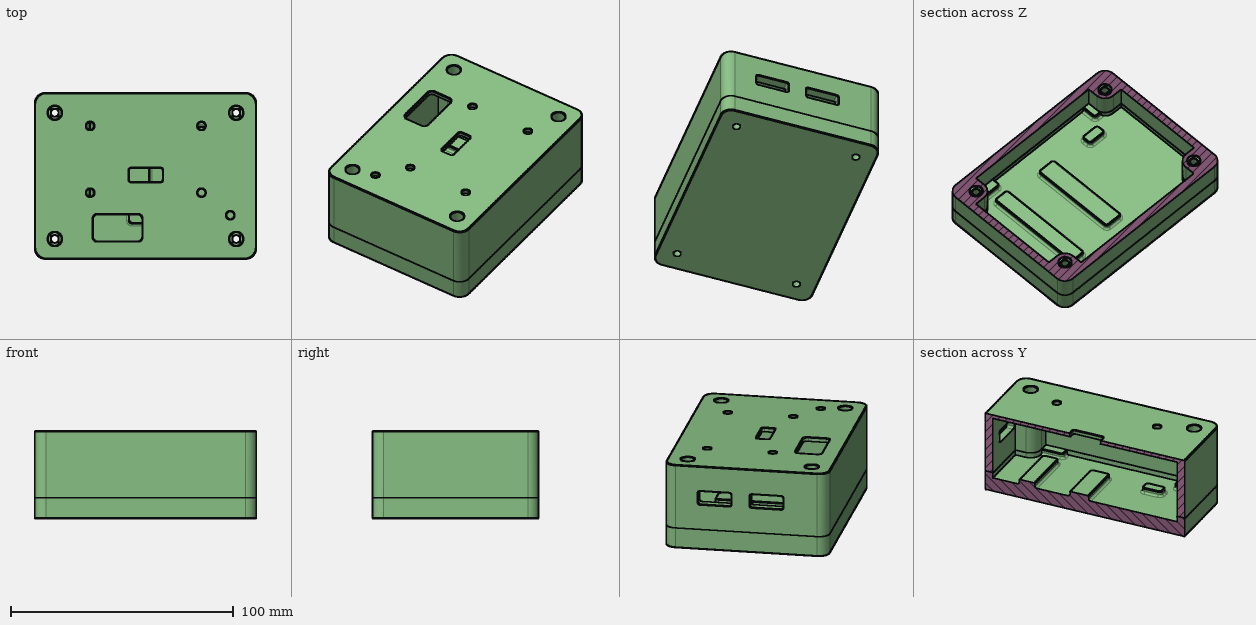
import cadquery as cq
import math

length = 99.69
width = 74.8
height = 39.5
base_height = 9.5
lid_height = height - base_height
corner_radius = 5.0
edge_chamfer = 0.4

wall = 4.0
top_thickness = 2.0
floor_thickness = 7.0
cavity_length = length - 2 * wall
cavity_width = width - 2 * wall
cavity_radius = 1.5

screw_x = 40.75
screw_y = 28.35
screw_diameter = 3.4
head_diameter = 6.0
head_depth = 20.0
bridge_size = 3.5
bridge_layer = 0.3
screw_points = [(sx * screw_x, sy * screw_y) for sx in (-1, 1) for sy in (-1, 1)]

post_radius = 5.2
post_reach = 12.0
post_length = post_reach + post_radius
post_width = post_reach + post_radius
post_center_x = screw_x + (post_reach - post_radius) / 2
post_center_y = screw_y + (post_reach - post_radius) / 2

mount_diameter = 3.4
mount_pitch_x = 50.0
mount_pitch_y = 30.0
mount_center = (0.15, 7.45)
indicator_point = (38.1, -17.7)

opening_chamfer = 0.35
switch_length = 15.1
switch_width = 6.1
switch_radius = 1.0
switch_center = (0.15, 0.4)
display_length = 22.0
display_width = 12.0
display_radius = 2.0
display_center = (-12.55, -23.35)
window_z = 24.5
coarse_window_y = 14.35
fine_window_y = -9.35

block_height = base_height - floor_thickness
block_radius = 1.5
foot_fillet = 1.0
block_chamfer = 0.4
selection_margin = 0.1

left_block = (-32.8, -24.9, -24.7, 24.7)
middle_block = (-7.6, 1.9, -21.4, 22.2)
right_block = (20.0, 29.7, 17.0, 22.2)

rear_end = width / 2 - wall / 2
rear_left_block = (-screw_x, -25.0, 29.0, rear_end)
rear_right_block = (32.0, screw_x, 26.0, rear_end)
blocks = [left_block, middle_block, right_block, rear_left_block, rear_right_block]


def rounded_box(size_x, size_y, size_z, radius, center=(0, 0), bottom=0):
    """Upright box with rounded vertical edges, standing at the given bottom height."""
    return (
        cq.Workplane("XY", origin=(center[0], center[1], bottom))
        .rect(size_x, size_y)
        .extrude(size_z)
        .edges("|Z")
        .fillet(radius)
    )


def top_cylinder(points, diameter, depth):
    """Cylinders going down from the top face."""
    return (
        cq.Workplane("XY", origin=(0, 0, height))
        .pushPoints(points)
        .circle(diameter / 2)
        .extrude(-depth)
    )


def top_hole(points, diameter, depth, chamfer):
    """Round holes in the top face with a chamfered mouth."""
    mouth = (
        cq.Workplane("XY", origin=(0, 0, height))
        .pushPoints(points)
        .circle(diameter / 2 + chamfer)
        .extrude(-chamfer, taper=45)
    )
    return top_cylinder(points, diameter, depth).union(mouth)


def rounded_opening(plane, size_x, size_y, radius, depth):
    """Rounded rectangular cutter with a chamfered mouth on the given face plane."""
    outline = cq.Sketch().rect(size_x, size_y).vertices().fillet(radius)
    mouth_outline = (
        cq.Sketch()
        .rect(size_x + 2 * opening_chamfer, size_y + 2 * opening_chamfer)
        .vertices()
        .fillet(radius + opening_chamfer)
    )
    mouth = cq.Workplane(plane).placeSketch(mouth_outline).extrude(-opening_chamfer, taper=45)
    return cq.Workplane(plane).placeSketch(outline).extrude(-depth).union(mouth)


def top_opening(center, size_x, size_y, radius):
    """Opening through the top wall."""
    plane = cq.Plane(origin=(*center, height))
    return rounded_opening(plane, size_x, size_y, radius, top_thickness)


def side_window(y):
    """Switch window through the -X wall."""
    plane = cq.Plane(origin=(-length / 2, y, window_z), xDir=(0, -1, 0), normal=(-1, 0, 0))
    return rounded_opening(plane, switch_length, switch_width, switch_radius, wall)


def cavity(bottom, cavity_height):
    """Inner space of one half, leaving a rounded screw post in each corner."""
    space = rounded_box(cavity_length, cavity_width, cavity_height, cavity_radius, bottom=bottom)
    for x, y in screw_points:
        center = (math.copysign(post_center_x, x), math.copysign(post_center_y, y))
        post = rounded_box(post_length, post_width, cavity_height, post_radius, center, bottom)
        space = space.cut(post)
    return space


def screw_cutter():
    """Screw clearance with a counterbore whose floor steps through a slot and a square."""
    head = top_hole(screw_points, head_diameter, head_depth, opening_chamfer)
    slot = (
        top_cylinder(screw_points, head_diameter, head_depth + bridge_layer)
        .intersect(
            cq.Workplane("XY")
            .pushPoints(screw_points)
            .rect(head_diameter, bridge_size)
            .extrude(height)
        )
    )
    square = (
        cq.Workplane("XY", origin=(0, 0, height))
        .pushPoints(screw_points)
        .rect(bridge_size, bridge_size)
        .extrude(-head_depth - 2 * bridge_layer)
    )
    shank = top_cylinder(screw_points, screw_diameter, height)
    return head.union(slot).union(square).union(shank)


def make_lid():
    """Upper housing with the openings and counterbored screw holes."""
    lid = rounded_box(length, width, lid_height, corner_radius, bottom=base_height)
    lid = lid.faces(">Z").edges().chamfer(edge_chamfer)
    lid = lid.cut(cavity(base_height, lid_height - top_thickness))
    lid = lid.cut(screw_cutter())
    mount_points = [
        (mount_center[0] + sx * mount_pitch_x / 2, mount_center[1] + sy * mount_pitch_y / 2)
        for sx in (-1, 1)
        for sy in (-1, 1)
    ]
    lid = lid.cut(
        top_hole(mount_points + [indicator_point], mount_diameter, top_thickness, opening_chamfer)
    )
    lid = lid.cut(top_opening(switch_center, switch_length, switch_width, switch_radius))
    lid = lid.cut(top_opening(display_center, display_length, display_width, display_radius))
    for y in (coarse_window_y, fine_window_y):
        lid = lid.cut(side_window(y))
    return lid


def floor_block(left, right, front, back):
    """Raised rectangular block with a chamfered top and a filleted foot on the floor."""
    center = ((left + right) / 2, (front + back) / 2)
    block = rounded_box(
        right - left, back - front, block_height, block_radius, center, floor_thickness
    )
    return block.faces(">Z").edges().chamfer(block_chamfer)


def make_base():
    """Lower tray: a floor with filleted blocks, inside a rim that carries the screw posts."""
    base = rounded_box(length, width, floor_thickness, corner_radius)
    base = base.faces("<Z").edges().chamfer(edge_chamfer)
    for left, right, front, back in blocks:
        base = base.union(floor_block(left, right, front, back))
        foot = cq.selectors.BoxSelector(
            (left - selection_margin, front - selection_margin, floor_thickness - selection_margin),
            (right + selection_margin, back + selection_margin, floor_thickness + selection_margin),
        )
        base = base.edges(foot).fillet(foot_fillet)
    rim_height = base_height - floor_thickness
    rim = rounded_box(length, width, rim_height, corner_radius, bottom=floor_thickness)
    rim = rim.cut(cavity(floor_thickness, rim_height))
    return base.union(rim).cut(screw_cutter())


lid = make_lid()
base = make_base()

result = cq.Compound.makeCompound([lid.val(), base.val()])